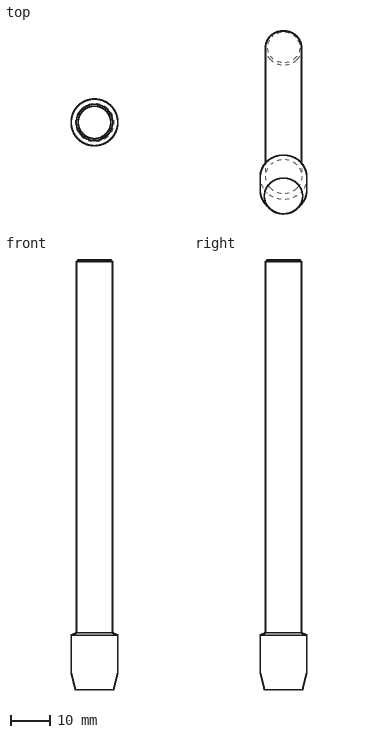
import cadquery as cq

overall_length = 110.0

collar_radius = 6.0
collar_length = 14.6
taper_height = 4.4
tip_radius = 4.9
shoulder_height = 0.6

rod_radius = 4.65
rod_length = overall_length - collar_length
rod_chamfer = 0.5


def make_collar():
    """Turned collar whose shoulder slopes in to the rod's diameter at the top."""
    profile = (
        cq.Workplane("XZ")
        .lineTo(tip_radius, 0)
        .lineTo(collar_radius, taper_height)
        .lineTo(collar_radius, collar_length - shoulder_height)
        .lineTo(rod_radius, collar_length)
        .lineTo(0, collar_length)
        .close()
    )
    return profile.revolve(360, (0, 0), (0, 1))


def make_rod():
    """Straight round rod on top of the collar, chamfered at its free end."""
    cylinder = cq.Workplane("XY", origin=(0, 0, collar_length)).circle(rod_radius).extrude(rod_length)
    return cylinder.faces(">Z").edges().chamfer(rod_chamfer)


collar = make_collar()
rod = make_rod()
result = cq.Compound.makeCompound([collar.val(), rod.val()])